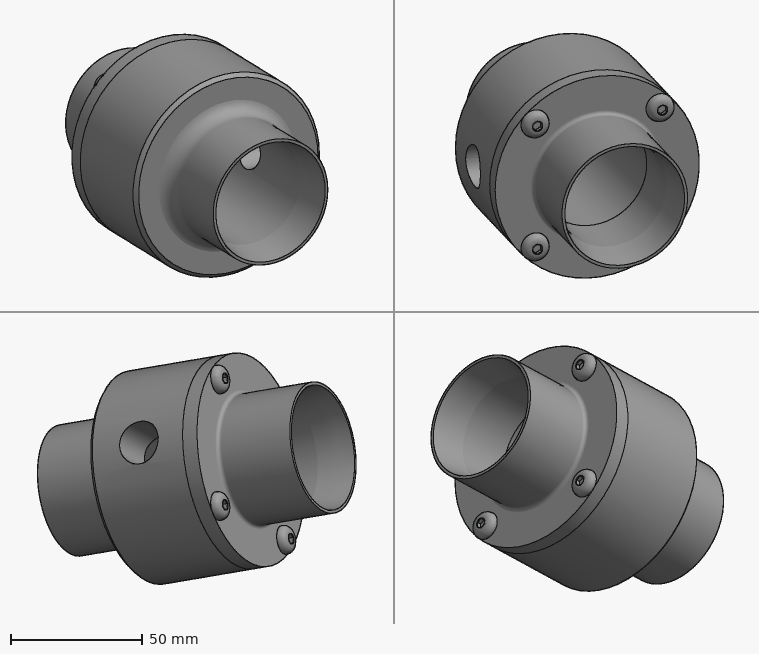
import cadquery as cq
import math


body_diameter = 82.55
body_radius = body_diameter / 2
body_length = 47.625
flange_thickness = 6.35

pipe_length = 31.75
pipe_radius = 50.8 / 2
bore_radius = 44.45 / 2
lip_thickness = 1.2
taper_length = 15.0
mouth_radius = pipe_radius - lip_thickness

cover_fillet = 1.5875
housing_chamfer = 1.5875
neck_arc_radius = 6.35
neck_radius = 60.96 / 2

port_radius = 16.9 / 2
port_x = 25.6

screw_count = 4
head_radius = 11.1125 / 2
head_height = 3.3
head_rim_height = 0.7
head_top_radius = 5.16 / 2
socket_across_flats = 3.572
socket_depth = 2.0
shank_radius = 6.35 / 2
shank_length = 15.875
bolt_circle_radius = body_radius - head_radius

pipe_start = -pipe_length
pipe_end = body_length + pipe_length


def revolve_about_x(profile):
    """Turn a profile of (x, radius) points around the X axis."""
    return profile.close().revolve(360, (0, 0, 0), (1, 0, 0))


def make_cylinder(x_start, length, radius, y=0, z=0):
    """Cylinder along X from x_start, with its axis at (y, z)."""
    return cq.Workplane("YZ", origin=(x_start, y, z)).circle(radius).extrude(length)


def screw_positions():
    """(y, z) of each screw, on the diagonals of the flange."""
    step = 2 * math.pi / screw_count
    angles = [step * (i + 0.5) for i in range(screw_count)]
    return [(bolt_circle_radius * math.cos(a), bolt_circle_radius * math.sin(a)) for a in angles]


def cut_screw_holes(body):
    for y, z in screw_positions():
        body = body.cut(make_cylinder(0, shank_length, shank_radius, y, z))
    return body


def make_cover():
    """Flange with the -X pipe and a small fillet at the pipe root."""
    cos45 = math.cos(math.pi / 4)
    fillet_middle = (-cover_fillet * (1 - cos45), pipe_radius + cover_fillet * (1 - cos45))
    profile = (
        cq.Workplane("XY")
        .moveTo(pipe_start, mouth_radius)
        .lineTo(pipe_start, pipe_radius)
        .lineTo(-cover_fillet, pipe_radius)
        .threePointArc(fillet_middle, (0, pipe_radius + cover_fillet))
        .lineTo(0, body_radius)
        .lineTo(flange_thickness, body_radius)
        .lineTo(flange_thickness, bore_radius)
        .lineTo(pipe_start + taper_length, bore_radius)
    )
    return cut_screw_holes(revolve_about_x(profile))


def make_housing():
    """Chamfered drum with the +X pipe, a curved neck and the side port."""
    arc_center_radius = pipe_radius + neck_arc_radius
    sweep = math.acos((arc_center_radius - neck_radius) / neck_arc_radius)
    neck_end = body_length + neck_arc_radius * math.sin(sweep)
    neck_middle = (
        neck_end - neck_arc_radius * math.sin(sweep / 2),
        arc_center_radius - neck_arc_radius * math.cos(sweep / 2),
    )
    profile = (
        cq.Workplane("XY")
        .moveTo(flange_thickness, bore_radius)
        .lineTo(flange_thickness, body_radius)
        .lineTo(body_length - housing_chamfer, body_radius)
        .lineTo(body_length, body_radius - housing_chamfer)
        .lineTo(body_length, neck_radius)
        .threePointArc(neck_middle, (neck_end, pipe_radius))
        .lineTo(pipe_end, pipe_radius)
        .lineTo(pipe_end, mouth_radius)
        .lineTo(pipe_end - taper_length, bore_radius)
    )
    port = cq.Workplane("XZ", origin=(port_x, 0, 0)).circle(port_radius).extrude(-body_diameter)
    return cut_screw_holes(revolve_about_x(profile).cut(port))


def make_screw(y, z):
    """Button head screw with a chamfered hex socket and a plain shank."""
    dome_width = head_radius - head_top_radius
    dome_drop = head_height - head_rim_height
    dome_radius = (dome_width**2 + dome_drop**2) / (2 * dome_drop)
    half_sweep = math.asin(dome_width / dome_radius) / 2
    dome_middle = (
        -head_height + dome_radius * (1 - math.cos(half_sweep)),
        head_top_radius + dome_radius * math.sin(half_sweep),
    )
    profile = (
        cq.Workplane("XY")
        .moveTo(-head_height, 0)
        .lineTo(-head_height, head_top_radius)
        .threePointArc(dome_middle, (-head_rim_height, head_radius))
        .lineTo(0, head_radius)
        .lineTo(0, shank_radius)
        .lineTo(shank_length, shank_radius)
        .lineTo(shank_length, 0)
    )
    flat_radius = socket_across_flats / 2
    corner_radius = socket_across_flats / math.sqrt(3)
    chamfer_floor = -head_height + corner_radius - flat_radius
    socket = (
        cq.Workplane("YZ", origin=(-head_height, 0, 0))
        .transformed(rotate=(0, 0, 90))
        .polygon(6, 2 * corner_radius)
        .extrude(socket_depth)
    )
    socket_chamfer = revolve_about_x(
        cq.Workplane("XY")
        .moveTo(-head_height, 0)
        .lineTo(-head_height, corner_radius)
        .lineTo(chamfer_floor, flat_radius)
        .lineTo(chamfer_floor, 0)
    )
    screw = revolve_about_x(profile).cut(socket).cut(socket_chamfer)
    return screw.translate((0, y, z))


cover = make_cover()
housing = make_housing()
screws = [make_screw(y, z) for y, z in screw_positions()]

result = cq.Compound.makeCompound([cover.val(), housing.val(), *[screw.val() for screw in screws]])